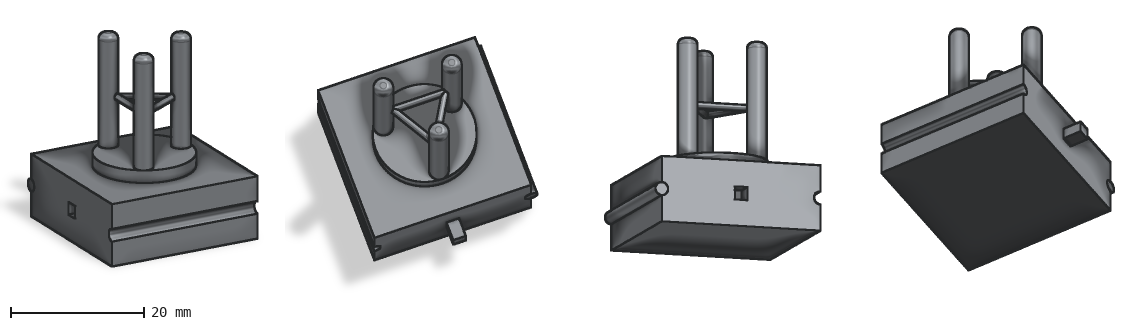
import cadquery as cq
import math

base_side = 25.0
base_height = 10.0
half_side = base_side / 2
mid_height = base_height / 2

rod_radius = 1.0
tab_width = 2.0
tab_length = 3
socket_depth = tab_length

disc_radius = 7.8
disc_height = 2.0
pin_radius = 1.5
pin_round = 1.0
pin_count = 3
total_height = 30
pin_bottom = base_height + disc_height
pin_height = total_height - pin_bottom
pin_circle = disc_radius - pin_radius
pin_angles = [90 + i * 360 / pin_count for i in range(pin_count)]

frame_radius = 0.5
frame_circle = pin_circle - pin_radius
frame_z = 20.0


def polar_point(radius, angle, z):
    """Point at a distance and angle (degrees) around the Z axis."""
    turn = math.radians(angle)
    return cq.Vector(radius * math.cos(turn), radius * math.sin(turn), z)


def make_rod(x):
    """Round bar along the full depth of the base, centred on a side face."""
    return (
        cq.Workplane("XZ", origin=(x, half_side, mid_height))
        .circle(rod_radius)
        .extrude(base_side)
    )


def make_square_bar(y, length):
    """Square bar that runs from y toward -Y at the middle of the base height."""
    return (
        cq.Workplane("XZ", origin=(0, y, mid_height))
        .rect(tab_width, tab_width)
        .extrude(length)
    )


def make_base(rod):
    """Base with a tab at the back, a socket in front and a groove on each side."""
    block = cq.Workplane("XY").box(base_side, base_side, base_height, centered=(True, True, False))
    tab = make_square_bar(half_side + tab_length, tab_length)
    socket = make_square_bar(-half_side + socket_depth, socket_depth)
    open_groove = make_rod(half_side)
    return block.union(tab).cut(socket).cut(open_groove).cut(rod)


def make_frame():
    """Round wire bent into a closed triangle with mitred corners."""
    corners = [polar_point(frame_circle, angle, frame_z) for angle in pin_angles]
    start = (corners[-1] + corners[0]) * 0.5
    path = cq.Workplane("XY").polyline([start, *corners]).close()
    section = cq.Plane(origin=start, normal=corners[0] - start)
    return cq.Workplane(section).circle(frame_radius).sweep(path, transition="right")


def make_pin(angle, frame):
    """Pin with a rounded top, standing on the disc and notched for the frame corner."""
    pin = (
        cq.Workplane("XY", origin=polar_point(pin_circle, angle, pin_bottom).toTuple())
        .circle(pin_radius)
        .extrude(pin_height)
        .faces(">Z")
        .edges()
        .fillet(pin_round)
    )
    return pin.cut(frame)


def make_disc():
    """Plain disc lying on top of the base."""
    return cq.Workplane("XY").workplane(offset=base_height).circle(disc_radius).extrude(disc_height)


rod = make_rod(-half_side)
base = make_base(rod)
frame = make_frame()
pins = [make_pin(angle, frame) for angle in pin_angles]
disc = make_disc()

bodies = [base, rod, disc, frame, *pins]
result = cq.Compound.makeCompound([body.solids().val() for body in bodies])